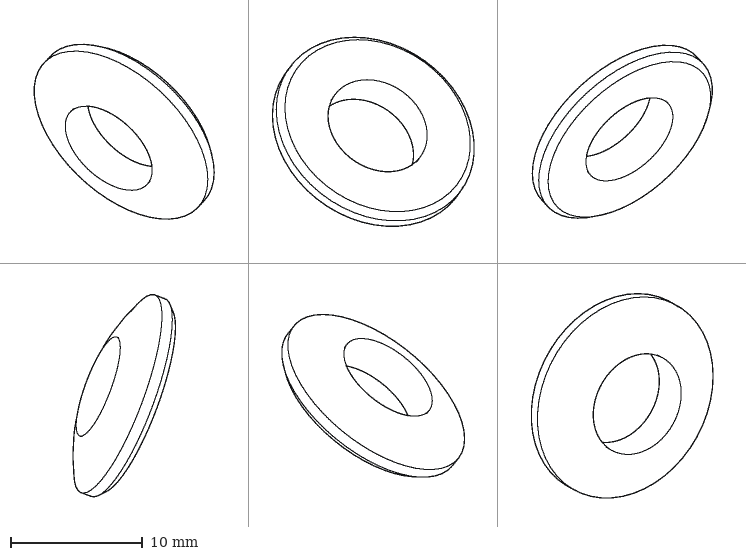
import cadquery as cq
import math

outer_radius = 8.0
hole_radius = outer_radius / 2
dome_radius = 2 * outer_radius
thickness = 3.0
chamfer = 0.51


def dome_depth(radius):
    """Distance along Y from the sphere's pole to its surface at a given radius."""
    return dome_radius - math.sqrt(dome_radius**2 - radius**2)


rim_y = dome_depth(outer_radius) - dome_depth(hole_radius)
mid_radius = (hole_radius + outer_radius) / 2
mid_y = dome_depth(mid_radius) - dome_depth(hole_radius)

result = (
    cq.Workplane("XY")
    .moveTo(hole_radius, 0)
    .threePointArc((mid_radius, mid_y), (outer_radius, rim_y))
    .lineTo(outer_radius, thickness - chamfer)
    .lineTo(outer_radius - chamfer, thickness)
    .lineTo(hole_radius, thickness)
    .close()
    .revolve(360, (0, 0, 0), (0, 1, 0))
)